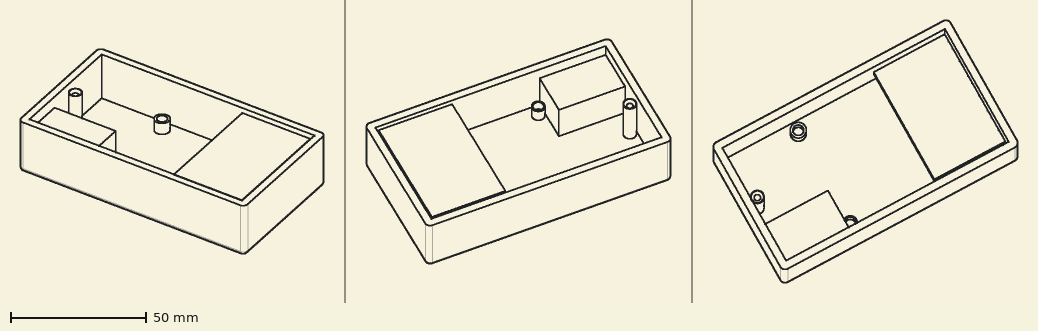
import cadquery as cq

LENGTH = 100.0
WIDTH = 55.0
HEIGHT = 23.0
WALL = 3.0
FLOOR = 3.0
EDGE_RADIUS = 2.0

BLOCK_LENGTH = 27.0
BLOCK_WIDTH = 17.0
BLOCK_TOP = 18.0

PAIR_X = 32.6
PAIR_EDGE_OFFSET = 7.5
PAIR_TOP = 8.0
PAIR_HOLE_RADIUS = 2.0
WIDE_POST_RADIUS = 3.0
SLIM_POST_RADIUS = 2.5
END_POST_X = 5.7
END_POST_Y = 30.0
END_POST_TOP = 20.0
END_HOLE_RADIUS = 1.2
END_MOUTH_RADIUS = 2.3
COUNTERSINK_DEPTH = 1.1
TIP_SLOPE = 0.6

PLATE_LENGTH = 30.0
PLATE_WIDTH = 46.6
PLATE_THICKNESS = 3.0
PLATE_TOP = 22.0
PLATE_END_GAP = 0.9
PLATE_SIDE_GAP = 0.9


def corner_box(length, width, height, corner):
    """Box whose lowest-coordinate corner is at the given point."""
    return cq.Workplane("XY").box(length, width, height, centered=False).translate(corner)


def make_shell():
    outer = corner_box(LENGTH, WIDTH, HEIGHT, (0, 0, 0))
    outer = outer.edges("|Z or <Z").fillet(EDGE_RADIUS)
    cavity = corner_box(LENGTH - 2 * WALL, WIDTH - 2 * WALL, HEIGHT - FLOOR, (WALL, WALL, FLOOR))
    return outer.cut(cavity)


def add_post(body, x, y, top, radius, hole_radius):
    """Round post on the floor, with a hole that ends in a drill point at floor level."""
    profile = (
        cq.Workplane("XZ")
        .moveTo(0, FLOOR)
        .lineTo(hole_radius, FLOOR + TIP_SLOPE * hole_radius)
        .lineTo(hole_radius, top)
        .lineTo(0, top)
        .close()
    )
    hole = profile.revolve(360, (0, 0, 0), (0, 1, 0)).translate((x, y, 0))
    post = cq.Solid.makeCylinder(radius, top - FLOOR, cq.Vector(x, y, FLOOR))
    return body.union(cq.Workplane(post)).cut(hole)


def make_countersink():
    base = cq.Vector(END_POST_X, END_POST_Y, END_POST_TOP - COUNTERSINK_DEPTH)
    return cq.Workplane(cq.Solid.makeCone(END_HOLE_RADIUS, END_MOUTH_RADIUS, COUNTERSINK_DEPTH, base))


def make_tray():
    tray = make_shell()
    tray = tray.union(corner_box(BLOCK_LENGTH, BLOCK_WIDTH, BLOCK_TOP - FLOOR, (WALL, WALL, FLOOR)))
    pair = (
        (WIDTH - PAIR_EDGE_OFFSET, WIDE_POST_RADIUS),
        (PAIR_EDGE_OFFSET, SLIM_POST_RADIUS),
    )
    for y, radius in pair:
        tray = add_post(tray, PAIR_X, y, PAIR_TOP, radius, PAIR_HOLE_RADIUS)
    tray = add_post(tray, END_POST_X, END_POST_Y, END_POST_TOP, SLIM_POST_RADIUS, END_HOLE_RADIUS)
    return tray.cut(make_countersink())


def make_plate():
    x = LENGTH - WALL - PLATE_END_GAP - PLATE_LENGTH
    y = WALL + PLATE_SIDE_GAP
    z = PLATE_TOP - PLATE_THICKNESS
    return corner_box(PLATE_LENGTH, PLATE_WIDTH, PLATE_THICKNESS, (x, y, z))


tray = make_tray()
plate = make_plate()

result = cq.Compound.makeCompound([tray.val(), plate.val()])